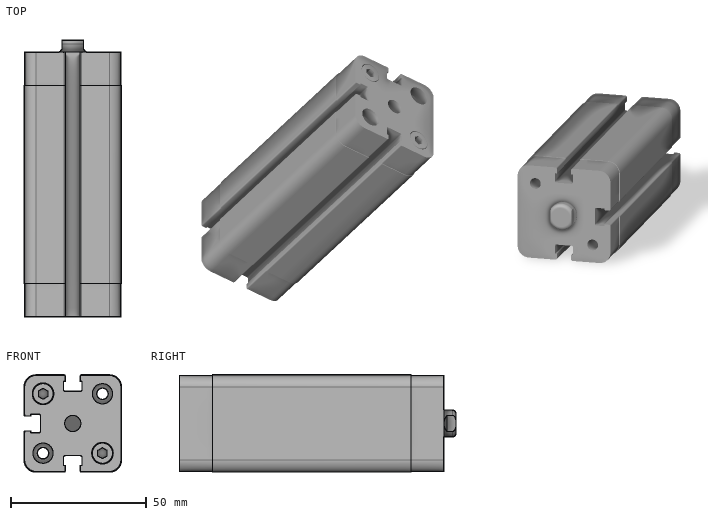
import cadquery as cq
import math


tube_side = 36.1
cap_side = 35.6
cap_corner_radius = 4.25
tube_corner_radius = cap_corner_radius + (tube_side - cap_side) / 2
cap_length = 12.3
body_length = 98.0
tube_length = body_length - 2 * cap_length

slot_mouth_width = 5.5
slot_inner_width = 6.8
slot_lip_depth = 2.5
slot_depth = 6.1
slot_floor_radius = 0.5
slot_mouth_radius = 0.5
slot_angles = (0, 90, 180)

corner_offset = 11.0
through_hole_diameter = 4.13
counterbore_diameter = 7.5
counterbore_depth = 4.5
screw_recess_diameter = 8.0
screw_head_diameter = 7.5
screw_head_height = 4.0
hex_socket_flats = 3.5
hex_socket_depth = 3.0

center_hole_diameter = 6.0
center_hole_depth = 12.0

rod_diameter = 10.0
rod_projection = 4.5
rod_flats = 8.0
rod_flat_runout = 1.1
rod_tip_radius = 1.4

screw_positions = [(-corner_offset, corner_offset), (corner_offset, -corner_offset)]
open_hole_positions = [(corner_offset, corner_offset), (-corner_offset, -corner_offset)]


def section_plane(y):
    """Plane across the body at y: local x is X, local y is Z and the normal is -Y."""
    return cq.Workplane("XZ", origin=(0, y, 0))


def square_block(side, corner_radius, y_start, length):
    """Square bar with rounded long edges, from y_start towards +Y."""
    return section_plane(y_start).rect(side, side).extrude(-length).edges("|Y").fillet(corner_radius)


def cylinders(positions, diameter, depth):
    """Cylinders from the front face along +Y at the given (X, Z) positions."""
    return section_plane(0).pushPoints(positions).circle(diameter / 2).extrude(-depth)


def slot_cutter(outer_side, y_start, length):
    """T-slot in the top face of a bar of the given side, with a rounded mouth."""
    outer_z = outer_side / 2
    floor_z = tube_side / 2 - slot_depth
    lip_z = tube_side / 2 - slot_lip_depth
    half_mouth = slot_mouth_width / 2

    chamber = (
        section_plane(y_start)
        .center(0, (floor_z + lip_z) / 2)
        .rect(slot_inner_width, lip_z - floor_z)
        .extrude(-length)
        .edges("|Y and <Z")
        .fillet(slot_floor_radius)
    )
    mouth = (
        section_plane(y_start)
        .moveTo(-half_mouth, floor_z)
        .lineTo(half_mouth, floor_z)
        .lineTo(half_mouth, outer_z - slot_mouth_radius)
        .radiusArc((half_mouth + slot_mouth_radius, outer_z), slot_mouth_radius)
        .lineTo(-half_mouth - slot_mouth_radius, outer_z)
        .radiusArc((-half_mouth, outer_z - slot_mouth_radius), slot_mouth_radius)
        .close()
        .extrude(-length)
    )
    return chamber.union(mouth)


def slotted_bar(side, corner_radius, y_start, length):
    """Rounded square bar with its sensor slots."""
    bar = square_block(side, corner_radius, y_start, length)
    cutter = slot_cutter(side, y_start, length)
    for angle in slot_angles:
        bar = bar.cut(cutter.rotate((0, 0, 0), (0, 1, 0), -angle))
    return bar


def piston_rod():
    """Rod end with a rounded tip and two flats that slope out to full diameter at the body."""
    radius = rod_diameter / 2
    half_flats = rod_flats / 2
    tip_y = body_length + rod_projection
    rod = section_plane(body_length).circle(radius).extrude(-rod_projection)
    rod = rod.faces(">Y").edges().fillet(rod_tip_radius)
    flats_envelope = (
        cq.Workplane("XY")
        .moveTo(-radius, body_length)
        .lineTo(radius, body_length)
        .lineTo(half_flats, body_length + rod_flat_runout)
        .lineTo(half_flats, tip_y)
        .lineTo(-half_flats, tip_y)
        .lineTo(-half_flats, body_length + rod_flat_runout)
        .close()
        .extrude(radius, both=True)
    )
    return rod.intersect(flats_envelope)


def screw_cutters():
    """Ring gap around each screw head and the hexagon socket in it."""
    recesses = cylinders(screw_positions, screw_recess_diameter, screw_head_height)
    heads = cylinders(screw_positions, screw_head_diameter, screw_head_height)
    hex_corner_diameter = hex_socket_flats / math.cos(math.pi / 6)
    sockets = (
        section_plane(0)
        .transformed(rotate=(0, 0, 90))
        .pushPoints([(z, -x) for x, z in screw_positions])
        .polygon(6, hex_corner_diameter)
        .extrude(-hex_socket_depth)
    )
    return recesses.cut(heads), sockets


result = slotted_bar(cap_side, cap_corner_radius, 0, cap_length)
result = result.union(slotted_bar(tube_side, tube_corner_radius, cap_length, tube_length))
result = result.union(slotted_bar(cap_side, cap_corner_radius, cap_length + tube_length, cap_length))
result = result.union(piston_rod())

result = result.cut(cylinders(open_hole_positions, through_hole_diameter, body_length))
result = result.cut(cylinders(open_hole_positions, counterbore_diameter, counterbore_depth))
result = result.cut(cylinders([(0, 0)], center_hole_diameter, center_hole_depth))

for cutter in screw_cutters():
    result = result.cut(cutter)